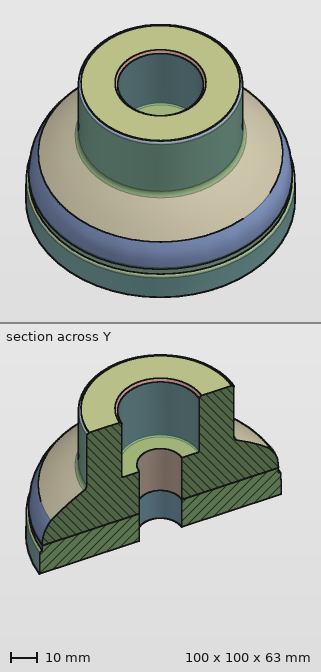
import cadquery as cq
import math

total_height = 63.0
through_hole_radius = 17.5 / 2

foot_bottom_radius = 100.01 / 2
foot_rim_radius = 49.85
foot_rim_height = 11.4
foot_rim_rounding = 1.0
body_radius = 97.79 / 2
foot_height = 14.0

band_top = 14.9
flank_top_radius = 45.35
flank_top = 25.0
flank_height = flank_top - band_top
flank_inset = body_radius - flank_top_radius
flank_arc_radius = (flank_inset**2 + flank_height**2) / (2 * flank_inset)

neck_radius = 61.0 / 2
neck_fillet_top = 36.8
neck_fillet_radius = 2.5
shoulder_start_slope = math.radians(29)
shoulder_top_radius = neck_radius + neck_fillet_radius * (1 - math.sin(shoulder_start_slope))
shoulder_top = neck_fillet_top - neck_fillet_radius * math.cos(shoulder_start_slope)

face_radius = 59.0 / 2
face_step = 0.3
ledge_width = 0.2
neck_rounding = neck_radius - face_radius - ledge_width

bore_radius = 31.76 / 2
bore_depth = 28.0
bore_chamfer = 1.0
bore_floor_fillet = 0.5


def arc_middle(center_x, center_z, radius, angle):
    """Point on an arc at the given angle from the outward radial direction."""
    return (center_x + radius * math.cos(angle), center_z + radius * math.sin(angle))


def revolve_profile(profile):
    """Turn a closed XZ half-profile about the Z axis."""
    return profile.close().revolve(360, (0, 0, 0), (0, 1, 0))


def make_foot():
    rounding_middle = arc_middle(
        foot_rim_radius - foot_rim_rounding,
        foot_rim_height - foot_rim_rounding,
        foot_rim_rounding,
        math.radians(45),
    )
    profile = (
        cq.Workplane("XZ")
        .moveTo(through_hole_radius, 0)
        .lineTo(foot_bottom_radius, 0)
        .lineTo(foot_rim_radius, foot_rim_height - foot_rim_rounding)
        .threePointArc(rounding_middle, (foot_rim_radius - foot_rim_rounding, foot_rim_height))
        .lineTo(body_radius, foot_rim_height)
        .lineTo(body_radius, foot_height)
        .lineTo(through_hole_radius, foot_height)
    )
    return revolve_profile(profile)


def make_bore_cutter():
    floor = total_height - bore_depth
    floor_fillet_middle = arc_middle(
        bore_radius - bore_floor_fillet,
        floor + bore_floor_fillet,
        bore_floor_fillet,
        math.radians(-45),
    )
    profile = (
        cq.Workplane("XZ")
        .moveTo(0, floor)
        .lineTo(bore_radius - bore_floor_fillet, floor)
        .threePointArc(floor_fillet_middle, (bore_radius, floor + bore_floor_fillet))
        .lineTo(bore_radius, total_height - bore_chamfer)
        .lineTo(bore_radius + bore_chamfer, total_height)
        .lineTo(0, total_height)
    )
    return revolve_profile(profile)


def make_body():
    flank_middle = arc_middle(
        body_radius - flank_arc_radius,
        band_top,
        flank_arc_radius,
        math.asin(flank_height / flank_arc_radius) / 2,
    )
    ledge_top = total_height - face_step
    neck_rounding_start = ledge_top - neck_rounding
    neck_rounding_middle = arc_middle(
        neck_radius - neck_rounding,
        neck_rounding_start,
        neck_rounding,
        math.radians(45),
    )
    neck_fillet_middle = arc_middle(
        neck_radius + neck_fillet_radius,
        neck_fillet_top,
        neck_fillet_radius,
        math.pi + (math.pi / 2 - shoulder_start_slope) / 2,
    )
    chord_x = flank_top_radius - shoulder_top_radius
    chord_z = flank_top - shoulder_top
    half_turn = math.atan2(-chord_z, chord_x) - shoulder_start_slope
    bulge = math.tan(half_turn / 2) / 2
    shoulder_middle = (
        shoulder_top_radius + chord_x / 2 - bulge * chord_z,
        shoulder_top + chord_z / 2 + bulge * chord_x,
    )
    profile = (
        cq.Workplane("XZ")
        .moveTo(through_hole_radius, foot_height)
        .lineTo(body_radius, foot_height)
        .lineTo(body_radius, band_top)
        .threePointArc(flank_middle, (flank_top_radius, flank_top))
        .threePointArc(shoulder_middle, (shoulder_top_radius, shoulder_top))
        .threePointArc(neck_fillet_middle, (neck_radius, neck_fillet_top))
        .lineTo(neck_radius, neck_rounding_start)
        .threePointArc(neck_rounding_middle, (neck_radius - neck_rounding, ledge_top))
        .lineTo(face_radius, ledge_top)
        .lineTo(face_radius, total_height)
        .lineTo(through_hole_radius, total_height)
    )
    return revolve_profile(profile).cut(make_bore_cutter())


foot = make_foot()
body = make_body()
result = cq.Compound.makeCompound([foot.val(), body.val()])